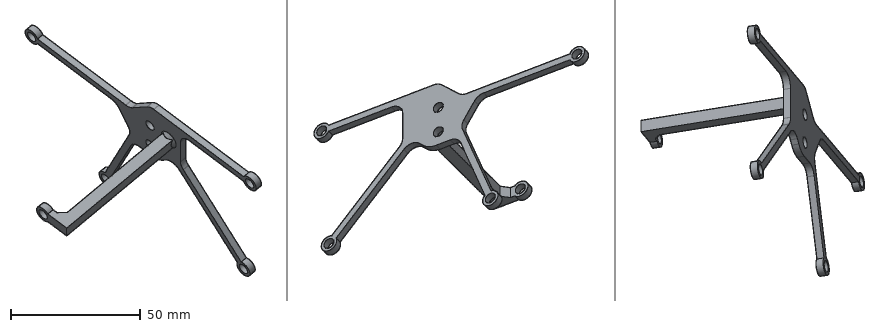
import cadquery as cq
import math

plate_thickness = 3.0
total_depth = 63.0
arm_width = 3.0
corner_radius = 5.0
belly_radius = 8.5

boss_diameter = 7.0
boss_radius = boss_diameter / 2
hole_radius = 2.2
hole_spacing = 12.0

left_tip = (-63.1, 0)
right_tip = (53.2, 10.5)
lower_left_tip = (-23.7, -54.4)
lower_right_tip = (49.8, -46.2)
lower_left_angle = 70
lower_right_angle = -45

plate_right = 16.3
plate_bottom = -18.3
shoulder_x = 0
left_upper_root_x = -10.9
left_lower_root_x = -18.0
waist_z = -13.1
bump_offset = 22.7

post_x = 10.0
post_width = 5.2
post_height = 4.9
hook_chamfer = 2.8
cone_radius = 4.0

half_arm = arm_width / 2


def sloped_arm_side(tip, angle, side):
    """Return the Z = 0 crossing, run per unit Z, and end point of one side of a sloped arm."""
    direction = math.radians(angle)
    end_x = tip[0] - side * half_arm * math.sin(direction)
    end_z = tip[1] + side * half_arm * math.cos(direction)
    run = 1 / math.tan(direction)
    return end_x - end_z * run, run, (end_x, end_z)


def disc(center, radius, front_y, thickness):
    """Cylinder along Y, from front_y back by thickness."""
    return (
        cq.Workplane("XZ", origin=(0, front_y, 0))
        .center(*center)
        .circle(radius)
        .extrude(-thickness)
    )


def make_plate():
    ll_x, ll_run, ll_end = sloped_arm_side(lower_left_tip, lower_left_angle, 1)
    lr_x, lr_run, lr_end = sloped_arm_side(lower_left_tip, lower_left_angle, -1)
    up_x, up_run, up_end = sloped_arm_side(lower_right_tip, lower_right_angle, 1)
    low_x, _, low_end = sloped_arm_side(lower_right_tip, lower_right_angle, -1)
    top_z = right_tip[1] + half_arm
    right_arm_bottom = right_tip[1] - half_arm
    belly = (bump_offset + plate_bottom, plate_bottom)
    outline = [
        (left_tip[0], half_arm),
        (left_upper_root_x, half_arm),
        (shoulder_x, top_z),
        (right_tip[0], top_z),
        (right_tip[0], right_arm_bottom),
        (plate_right, right_arm_bottom),
        (plate_right, (plate_right - up_x) / up_run),
        up_end,
        low_end,
        ((low_x + bump_offset) / 2, (low_x - bump_offset) / 2),
        belly,
        (lr_x + lr_run * plate_bottom, plate_bottom),
        lr_end,
        ll_end,
        (ll_x + ll_run * waist_z, waist_z),
        (left_lower_root_x, -half_arm),
        (left_tip[0], -half_arm),
    ]
    plate = cq.Workplane("XZ").polyline(outline).close().extrude(plate_thickness)

    belly_edge = cq.selectors.NearestToPointSelector((belly[0], -plate_thickness / 2, belly[1]))
    plate = plate.edges("|Y").edges(belly_edge).fillet(belly_radius)
    margin = 1.2
    body_box = cq.selectors.BoxSelector(
        (left_lower_root_x - margin, -plate_thickness, belly[1] + margin),
        (plate_right + margin, 0, top_z + margin),
    )
    plate = plate.edges("|Y").edges(body_box).fillet(corner_radius)

    lower_root = cq.selectors.NearestToPointSelector(
        (lr_x + lr_run * plate_bottom, -plate_thickness / 2, plate_bottom)
    )
    return plate.edges("|Y").edges(lower_root).fillet(corner_radius)


def make_post():
    """L-shaped post with a chamfered inner corner, running forward to the hook boss."""
    post_left = post_x - post_width / 2
    post_right = post_x + post_width / 2
    hook_back = plate_thickness - total_depth
    return (
        cq.Workplane("XY", origin=(0, 0, -post_height / 2))
        .moveTo(post_left, -plate_thickness)
        .lineTo(post_right, -plate_thickness)
        .lineTo(post_right, -total_depth)
        .lineTo(0, -total_depth)
        .lineTo(0, hook_back)
        .lineTo(post_left - hook_chamfer, hook_back)
        .lineTo(post_left, hook_back + hook_chamfer)
        .close()
        .extrude(post_height)
    )


def make_post_cone():
    """45 degree cone reinforcing the foot of the post."""
    cone = cq.Solid.makeCone(
        cone_radius, 0, cone_radius, cq.Vector(post_x, -plate_thickness, 0), cq.Vector(0, -1, 0)
    )
    return cq.Workplane(obj=cone)


result = make_plate().union(make_post()).union(make_post_cone())

tips = [left_tip, right_tip, lower_left_tip, lower_right_tip]
eyelets = [(tip, -plate_thickness) for tip in tips] + [((0, 0), -total_depth)]
for center, front_y in eyelets:
    result = result.union(disc(center, boss_radius, front_y, plate_thickness))
for center, front_y in eyelets:
    result = result.cut(disc(center, hole_radius, front_y, plate_thickness))

for center in [(0, 0), (0, -hole_spacing)]:
    result = result.cut(disc(center, hole_radius, -plate_thickness, plate_thickness))